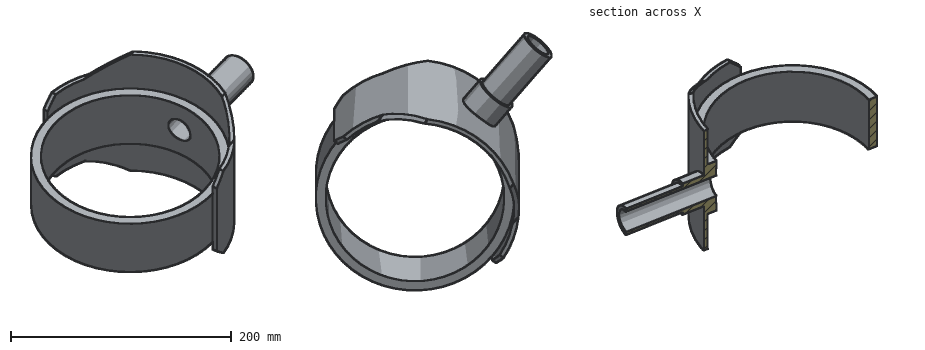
import cadquery as cq

ring_outer_radius = 90.0
ring_wall = 9.0
ring_height = 60.0

saddle_outer_radius = 94.5
saddle_height = 144.0
saddle_flank_height = 102.0
saddle_crest_width = 100.0
saddle_shoulder_width = 158.0
saddle_tip_chamfer = 12.0

stem_end_y = 267 - ring_outer_radius
stem_diameter = 32.0
stem_bore_diameter = 24.0
stem_exposed_length = 60.0
collar_diameter = 38.0

ring_inner_radius = ring_outer_radius - ring_wall


def mirrored_outline(plane, quarter):
    """Closed face outline mirrored about both axes from its first-quadrant points."""
    upper = quarter + [(-u, v) for u, v in reversed(quarter)]
    lower = [(-u, -v) for u, v in upper]
    return cq.Workplane(plane).polyline(upper + lower).close()


def z_cylinder(radius, height):
    """Cylinder about the ring axis, centred on the origin."""
    return cq.Workplane("XY").cylinder(height, radius)


def y_cylinder(diameter, end_y):
    """Cylinder along +Y from the ring axis to end_y."""
    return cq.Workplane("XZ").circle(diameter / 2).extrude(-end_y)


def make_ring():
    return z_cylinder(ring_outer_radius, ring_height)


def make_saddle():
    shell = z_cylinder(saddle_outer_radius, saddle_height)
    profile = [
        (saddle_outer_radius, saddle_flank_height / 2),
        (saddle_shoulder_width / 2, saddle_flank_height / 2),
        (saddle_crest_width / 2, saddle_height / 2),
    ]
    shell = shell.intersect(mirrored_outline("XZ", profile).extrude(-saddle_outer_radius))
    bevel_start = saddle_flank_height / 2 - saddle_tip_chamfer
    for side in (-1, 1):
        corner = (
            cq.Workplane("YZ")
            .polyline([
                (0, side * bevel_start),
                (saddle_tip_chamfer, side * saddle_flank_height / 2),
                (0, side * saddle_flank_height / 2),
            ])
            .close()
            .extrude(saddle_outer_radius, both=True)
        )
        shell = shell.cut(corner)
    core = z_cylinder(ring_outer_radius, saddle_height)
    return shell.cut(core)


def make_stem():
    collar = y_cylinder(collar_diameter, stem_end_y - stem_exposed_length)
    stem = collar.union(y_cylinder(stem_diameter, stem_end_y))
    core = z_cylinder(ring_outer_radius, saddle_height)
    return stem.cut(core)


bore = y_cylinder(stem_bore_diameter, stem_end_y)
ring_opening = z_cylinder(ring_inner_radius, ring_height)

result = make_ring().cut(ring_opening).union(make_saddle()).union(make_stem()).cut(bore)